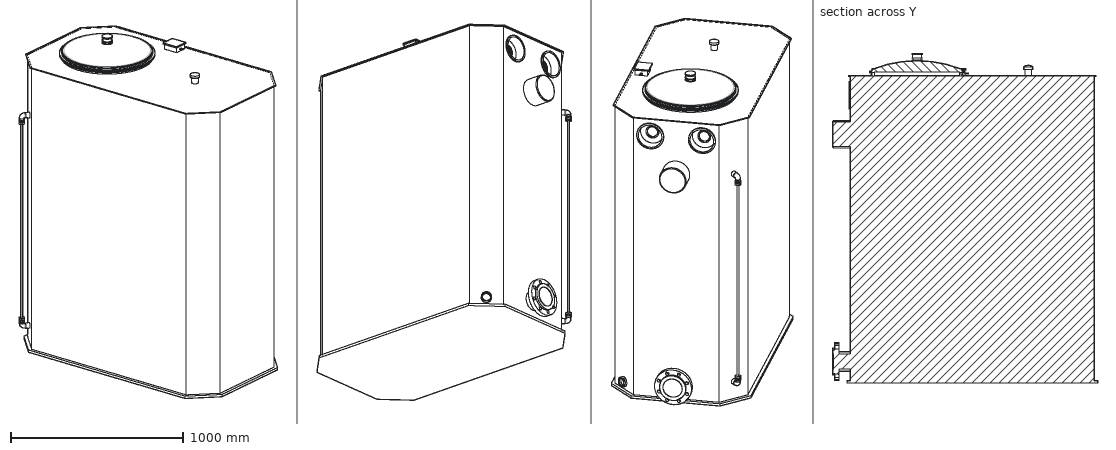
import cadquery as cq
import math

BODY_LENGTH = 1418
BODY_WIDTH = 790
CORNER_CUT = 140
BASE_OVERHANG = 20
BASE_THICKNESS = 15
TOP_OVERHANG = 10
TOP_THICKNESS = 5
TANK_HEIGHT = 1785
WALL_X = -BODY_LENGTH / 2
NOZZLE_REACH = 102

PIPE_DIAMETER = 160
INLET_HEIGHT = 1445
INLET_BEVEL = 5

SOCKET_SPACING = 308
SOCKET_HEIGHT = 1672
SOCKET_LIP = 8
SOCKET_BORE = 140
SOCKET_DEPTH = 62
SEAT_DIAMETER = 76
SEAT_BORE = 61
SEAT_DEPTH = 3
SEAT_BORE_DEPTH = 6

OUTLET_PIPE = 114.3
FLANGE_DIAMETER = 220
FLANGE_THICKNESS = 26
FLANGE_HEIGHT = BASE_THICKNESS + FLANGE_DIAMETER / 2
RAISED_FACE_DIAMETER = 156
RAISED_FACE_THICKNESS = 12
OUTLET_RECESS = 3
BOLT_CIRCLE = 180
BOLT_HOLE = 18
BOLT_COUNT = 8

DRAIN_DIAMETER = 60.3
DRAIN_COUNTERBORE = 54.6
DRAIN_COUNTERBORE_DEPTH = 4
DRAIN_BORE = 48
DRAIN_LENGTH = 20
DRAIN_BORE_DEPTH = 14
DRAIN_Y = 326
DRAIN_HEIGHT = 61

MANHOLE_X = -321
RING_DIAMETER = 530
RING_BORE = 496
RING_FOOT_DIAMETER = 534
RING_FOOT_HEIGHT = 8
LIP_DIAMETER = 556
LIP_THICKNESS = 5
RING_HEIGHT = 21
COVER_RIM_HEIGHT = 20
COVER_SHOULDER_DIAMETER = 522
COVER_SHOULDER_HEIGHT = 7
COVER_DIAMETER = 504
COVER_RISE = 47
CAP_DIAMETER = 61
CAP_HEIGHT = 8
CAP_NECK_DIAMETER = 54.6
CAP_COLLAR_THICKNESS = 2
CAP_STEM_DIAMETER = 48
CAP_TOP = 1915
CAP_NECK_HEIGHT = 18
CAP_STEM_HEIGHT = 11
CAP_FOOT_THICKNESS = 3

MUSHROOM_X = 325
MUSHROOM_STEM_DIAMETER = 39
MUSHROOM_STEM_HEIGHT = 37
MUSHROOM_DIAMETER = 54.6
MUSHROOM_RIM_HEIGHT = 14
MUSHROOM_DOME_RISE = 10

BOX_X = -86
BOX_Y = 333
BOX_BODY_LENGTH = 88
BOX_BODY_WIDTH = 75
BOX_BODY_SHIFT = 2
BOX_LID_LENGTH = 100
BOX_LID_WIDTH = 88
BOX_HEIGHT = 41
BOX_LID_THICKNESS = 8
TAB_SPAN = 126
TAB_WIDTH = 14
TAB_THICKNESS = 4
TAB_BOTTOM = 11

GAUGE_Y = -358
GAUGE_STANDOFF = 46
GAUGE_LOW = FLANGE_HEIGHT
GAUGE_HIGH = INLET_HEIGHT
TUBE_DIAMETER = 12
ELBOW_DIAMETER = 30
ELBOW_COLLAR_DIAMETER = 32.5
ELBOW_BEND_RADIUS = 16
ELBOW_SHOULDER = 2
ELBOW_COLLAR_START = 22
ELBOW_RING_DIAMETER = 34
ELBOW_RING_START = 28
ELBOW_RING_THICKNESS = 2
ELBOW_NUT_DIAMETER = 34
ELBOW_NUT_START = 40
ELBOW_STEM_DIAMETER = 25
ELBOW_END = 51


def octagon(overhang, bottom, height):
    """Octagonal plate whose sides all stand `overhang` outside the tank body."""
    half_length = BODY_LENGTH / 2 + overhang
    half_width = BODY_WIDTH / 2 + overhang
    cut = CORNER_CUT + overhang * (2 - math.sqrt(2))
    block = cq.Workplane("XY").box(2 * half_length, 2 * half_width, height, centered=(True, True, False))
    return block.edges("|Z").chamfer(cut).translate((0, 0, bottom))


def cylinder(start, direction, diameter, length):
    """Cylinder that grows from `start` along `direction`."""
    solid = cq.Solid.makeCylinder(diameter / 2, length, cq.Vector(*start), cq.Vector(*direction))
    return cq.Workplane(solid)


def upright(x, y, bottom, diameter, height):
    return cylinder((x, y, bottom), (0, 0, 1), diameter, height)


def dome_mid_point(half, rise):
    """Middle of the arc from the rim of a spherical dome, at (half, 0), to its top, at (0, rise)."""
    radius = (half**2 + rise**2) / (2 * rise)
    mid_angle = math.asin(half / radius) / 2
    return radius * math.sin(mid_angle), rise - radius * (1 - math.cos(mid_angle))


def corner_face_x(y):
    """X on the left-hand corner faces at a given Y."""
    return WALL_X - BODY_WIDTH / 2 + CORNER_CUT + abs(y)


OUTWARD = (-1, 0, 0)
INWARD = (1, 0, 0)
NOZZLE_END_X = WALL_X - NOZZLE_REACH


def add_inlet(tank):
    pipe = cylinder((WALL_X, 0, INLET_HEIGHT), OUTWARD, PIPE_DIAMETER, NOZZLE_REACH)
    return tank.union(pipe.faces("<X").chamfer(INLET_BEVEL))


def add_socket(tank, y):
    mouth_x = WALL_X - SOCKET_LIP
    floor_x = mouth_x + SOCKET_DEPTH
    tank = tank.union(cylinder((WALL_X, y, SOCKET_HEIGHT), OUTWARD, PIPE_DIAMETER, SOCKET_LIP))
    tank = tank.cut(cylinder((mouth_x, y, SOCKET_HEIGHT), INWARD, SOCKET_BORE, SOCKET_DEPTH))
    tank = tank.cut(cylinder((floor_x, y, SOCKET_HEIGHT), INWARD, SEAT_DIAMETER, SEAT_DEPTH))
    return tank.cut(cylinder((floor_x, y, SOCKET_HEIGHT), INWARD, SEAT_BORE, SEAT_BORE_DEPTH))


def add_outlet(tank):
    flange_face_x = NOZZLE_END_X + RAISED_FACE_THICKNESS
    tank = tank.union(cylinder((WALL_X, 0, FLANGE_HEIGHT), OUTWARD, OUTLET_PIPE, NOZZLE_REACH))
    flange = cylinder((flange_face_x, 0, FLANGE_HEIGHT), INWARD, FLANGE_DIAMETER, FLANGE_THICKNESS)
    for i in range(BOLT_COUNT):
        angle = 2 * math.pi * (i + 0.5) / BOLT_COUNT
        y = BOLT_CIRCLE / 2 * math.cos(angle)
        z = FLANGE_HEIGHT + BOLT_CIRCLE / 2 * math.sin(angle)
        flange = flange.cut(cylinder((flange_face_x, y, z), INWARD, BOLT_HOLE, FLANGE_THICKNESS))
    centre = (NOZZLE_END_X, 0, FLANGE_HEIGHT)
    raised_face = cylinder(centre, INWARD, RAISED_FACE_DIAMETER, RAISED_FACE_THICKNESS)
    recess = cylinder(centre, INWARD, OUTLET_PIPE, OUTLET_RECESS)
    return tank.union(flange).union(raised_face).cut(recess)


def add_drain(tank):
    x = corner_face_x(DRAIN_Y)
    offset = DRAIN_LENGTH / math.sqrt(2)
    mouth = (x - offset, DRAIN_Y + offset, DRAIN_HEIGHT)
    tank = tank.union(cylinder(mouth, (1, -1, 0), DRAIN_DIAMETER, DRAIN_LENGTH))
    tank = tank.cut(cylinder(mouth, (1, -1, 0), DRAIN_COUNTERBORE, DRAIN_COUNTERBORE_DEPTH))
    return tank.cut(cylinder(mouth, (1, -1, 0), DRAIN_BORE, DRAIN_BORE_DEPTH))


def make_tank():
    tank = octagon(0, 0, TANK_HEIGHT)
    tank = tank.union(octagon(BASE_OVERHANG, 0, BASE_THICKNESS))
    tank = tank.union(octagon(TOP_OVERHANG, TANK_HEIGHT - TOP_THICKNESS, TOP_THICKNESS))
    tank = add_inlet(tank)
    for side in (-1, 1):
        tank = add_socket(tank, side * SOCKET_SPACING / 2)
    tank = add_outlet(tank)
    return add_drain(tank)


def make_manhole_ring():
    """Neck on the top plate, with a wider foot and a lip that carries the cover."""
    lip_bottom = TANK_HEIGHT + RING_HEIGHT - LIP_THICKNESS
    ring = upright(MANHOLE_X, 0, TANK_HEIGHT, RING_DIAMETER, RING_HEIGHT)
    ring = ring.union(upright(MANHOLE_X, 0, TANK_HEIGHT, RING_FOOT_DIAMETER, RING_FOOT_HEIGHT))
    ring = ring.union(upright(MANHOLE_X, 0, lip_bottom, LIP_DIAMETER, LIP_THICKNESS))
    return ring.cut(upright(MANHOLE_X, 0, TANK_HEIGHT, RING_BORE, RING_HEIGHT))


def make_vent_cap():
    """Stack of discs from the foot in the cover up to the broad head."""
    stack = [
        (CAP_DIAMETER, CAP_HEIGHT),
        (CAP_NECK_DIAMETER, CAP_NECK_HEIGHT),
        (CAP_DIAMETER, CAP_COLLAR_THICKNESS),
        (CAP_STEM_DIAMETER, CAP_STEM_HEIGHT),
        (CAP_DIAMETER, CAP_FOOT_THICKNESS),
    ]
    level = CAP_TOP
    cap = cq.Workplane()
    for diameter, height in stack:
        level -= height
        cap = cap.add(upright(MANHOLE_X, 0, level, diameter, height))
    return cap.combine()


def make_cover(vent_cap):
    """Stepped rim under a shallow spherical cap, recessed where the foot of the vent cap sits."""
    half = COVER_DIAMETER / 2
    mid_point = dome_mid_point(half, COVER_RISE)
    profile = cq.Workplane("XZ").lineTo(half, 0).threePointArc(mid_point, (0, COVER_RISE)).close()
    dome = profile.revolve(360, (0, 0, 0), (0, 1, 0))
    bottom = TANK_HEIGHT + RING_HEIGHT
    shoulder_bottom = bottom + COVER_RIM_HEIGHT - COVER_SHOULDER_HEIGHT
    cover = dome.translate((MANHOLE_X, 0, bottom + COVER_RIM_HEIGHT))
    cover = cover.union(upright(MANHOLE_X, 0, bottom, LIP_DIAMETER, LIP_THICKNESS))
    cover = cover.union(upright(MANHOLE_X, 0, bottom, RING_DIAMETER, shoulder_bottom - bottom))
    cover = cover.union(
        upright(MANHOLE_X, 0, shoulder_bottom, COVER_SHOULDER_DIAMETER, COVER_SHOULDER_HEIGHT)
    )
    return cover.cut(vent_cap)


def make_mushroom():
    rim_top = MUSHROOM_STEM_HEIGHT + MUSHROOM_RIM_HEIGHT
    top = rim_top + MUSHROOM_DOME_RISE
    half = MUSHROOM_DIAMETER / 2
    stem_radius = MUSHROOM_STEM_DIAMETER / 2
    mid_x, mid_rise = dome_mid_point(half, MUSHROOM_DOME_RISE)
    profile = (
        cq.Workplane("XZ")
        .lineTo(stem_radius, 0)
        .lineTo(stem_radius, MUSHROOM_STEM_HEIGHT)
        .lineTo(half, MUSHROOM_STEM_HEIGHT)
        .lineTo(half, rim_top)
        .threePointArc((mid_x, rim_top + mid_rise), (0, top))
        .close()
    )
    return profile.revolve(360, (0, 0, 0), (0, 1, 0)).translate((MUSHROOM_X, 0, TANK_HEIGHT))


def make_junction_box():
    """Box with a tab on each end and an overhanging lid."""
    lid_bottom = BOX_HEIGHT - BOX_LID_THICKNESS
    flat = (True, True, False)
    box = cq.Workplane("XY").box(BOX_BODY_LENGTH, BOX_BODY_WIDTH, BOX_HEIGHT, centered=flat)
    box = box.translate((0, BOX_BODY_SHIFT, 0))
    lid = cq.Workplane("XY").box(BOX_LID_LENGTH, BOX_LID_WIDTH, BOX_LID_THICKNESS, centered=flat)
    box = box.union(lid.translate((0, 0, lid_bottom)))
    tabs = cq.Workplane("XY").box(TAB_SPAN, TAB_WIDTH, TAB_THICKNESS, centered=flat)
    box = box.union(tabs.translate((0, 0, TAB_BOTTOM)))
    return box.translate((BOX_X, BOX_Y, TANK_HEIGHT))


GAUGE_X = corner_face_x(GAUGE_Y) - GAUGE_STANDOFF * math.sqrt(2)


def make_elbow(height, run):
    """Elbow whose tube end points up (run = 1) or down (run = -1).

    It is built with its tube end pointing up and the wall along +X.
    """
    bend = ELBOW_BEND_RADIUS
    arc_offset = bend * (1 - math.sqrt(0.5))
    path = (
        cq.Workplane("XZ")
        .moveTo(0, bend + ELBOW_SHOULDER)
        .lineTo(0, bend)
        .threePointArc((arc_offset, arc_offset), (bend, 0))
        .lineTo(GAUGE_STANDOFF, 0)
    )
    elbow = cq.Workplane("XY", origin=(0, 0, bend + ELBOW_SHOULDER)).circle(ELBOW_DIAMETER / 2).sweep(path)
    collar_length = GAUGE_STANDOFF - ELBOW_COLLAR_START
    elbow = elbow.union(
        cylinder((ELBOW_COLLAR_START, 0, 0), (1, 0, 0), ELBOW_COLLAR_DIAMETER, collar_length)
    )
    elbow = elbow.union(upright(0, 0, bend, ELBOW_STEM_DIAMETER, ELBOW_END - bend))
    nut_length = ELBOW_END - ELBOW_NUT_START
    elbow = elbow.union(upright(0, 0, ELBOW_RING_START, ELBOW_RING_DIAMETER, ELBOW_RING_THICKNESS))
    elbow = elbow.union(upright(0, 0, ELBOW_NUT_START, ELBOW_NUT_DIAMETER, nut_length))
    elbow = elbow.cut(upright(0, 0, ELBOW_NUT_START, TUBE_DIAMETER, nut_length))
    if run < 0:
        elbow = elbow.mirror("XY")
    return elbow.rotate((0, 0, 0), (0, 0, 1), 45).translate((GAUGE_X, GAUGE_Y, height))


def make_gauge_tube():
    """Tube that ends inside the nuts of both elbows."""
    bottom = GAUGE_LOW + ELBOW_NUT_START
    top = GAUGE_HIGH - ELBOW_NUT_START
    return upright(GAUGE_X, GAUGE_Y, bottom, TUBE_DIAMETER, top - bottom)


tank = make_tank()
manhole_ring = make_manhole_ring()
vent_cap = make_vent_cap()
cover = make_cover(vent_cap)
mushroom = make_mushroom()
junction_box = make_junction_box()
elbows = [make_elbow(height, run) for height, run in ((GAUGE_LOW, 1), (GAUGE_HIGH, -1))]
gauge_tube = make_gauge_tube()

result = cq.Compound.makeCompound(
    [
        tank.val(),
        manhole_ring.val(),
        vent_cap.val(),
        cover.val(),
        mushroom.val(),
        junction_box.val(),
        *[elbow.val() for elbow in elbows],
        gauge_tube.val(),
    ]
)